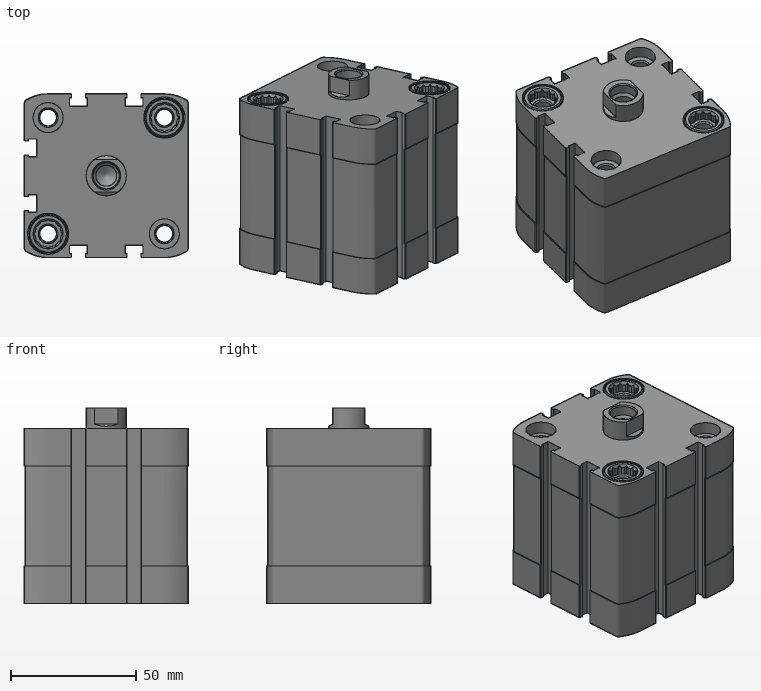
import cadquery as cq
import math

TOTAL_HEIGHT = 78.2
ROD_STICKOUT = 8.2
BODY_TOP = TOTAL_HEIGHT - ROD_STICKOUT
BODY_WIDTH = 65.5
HALF_WIDTH = BODY_WIDTH / 2
CAP_HEIGHT = 15.0
BARREL_INSET = 0.3

HOLE_OFFSET = 23.2
CORNER_RADIUS = 17.0
CORNER_BLEND = 1.5

SLOT_OFFSET = 11.1
SLOT_MOUTH = 5.5
SLOT_WIDTH = 6.95
SLOT_DEPTH = 4.9
SLOT_LIP = 1.65
SLOT_EDGE_BEVEL = 0.3

THROUGH_DIAMETER = 6.65
HOLE_MOUTH_DIAMETER = 7.8
COUNTERBORE_DIAMETER = 12.0
COUNTERBORE_DEPTH = 5.0

HEAD_POCKET_DIAMETER = 16.4
HEAD_DIAMETER = 15.5
HEAD_CHAMFER = 0.5
SOCKET_DIAMETER = 10.5
SOCKET_POINT_DIAMETER = 11.3
SOCKET_MOUTH_DIAMETER = 12.0
SOCKET_MOUTH_DEPTH = 1.3
SOCKET_POINTS = 12
SOCKET_POINT_ANGLE = 115
SOCKET_DEPTH = 4.4

ROD_DIAMETER = 16.0
ROD_SEAT_DEPTH = CAP_HEIGHT
ROD_FLATS = 13.0
FLAT_LENGTH = 6.5
FLAT_SLOPE = 30
ROD_MOUTH_DIAMETER = 11.4
ROD_COUNTERBORE_DIAMETER = 10.5
ROD_COUNTERBORE_DEPTH = 4.4
ROD_BORE_DIAMETER = 8.4
ROD_BORE_DEPTH = 15.65
DRILL_TIP_ANGLE = 118

CUT_MARGIN = 0.8


def cone(top_diameter, bottom_diameter, top_z, height):
    """Downward taper on the Z axis."""
    top = (0, 0, top_z)
    down = (0, 0, -1)
    solid = cq.Solid.makeCone(top_diameter / 2, bottom_diameter / 2, height, pnt=top, dir=down)
    return cq.Workplane(obj=solid)


def cylinder(diameter, top_z, height):
    """Plain round on the Z axis, hanging down from top_z."""
    return cq.Workplane(origin=(0, 0, top_z)).circle(diameter / 2).extrude(-height)


def section(inset, bottom_z, height):
    """Prism of the square section with rounded corners, moved inward by inset."""
    half = HALF_WIDTH - inset
    radius = CORNER_RADIUS - inset
    blend = CORNER_BLEND - inset
    arc_y = HALF_WIDTH - CORNER_RADIUS
    blend_x = HALF_WIDTH - CORNER_BLEND
    reach = CORNER_RADIUS - CORNER_BLEND
    tilt = math.asin((blend_x - HOLE_OFFSET) / reach)
    blend_y = arc_y + reach * math.cos(tilt)

    def wide(angle):
        """Point on the wide arc, by its angle from the +Y direction."""
        return HOLE_OFFSET + radius * math.sin(angle), arc_y + radius * math.cos(angle)

    side_tilt = (tilt + math.pi / 2) / 2
    blend_mid = (blend_x + blend * math.sin(side_tilt), blend_y + blend * math.cos(side_tilt))
    quarter = (
        cq.Workplane(origin=(0, 0, bottom_z))
        .lineTo(0, half)
        .lineTo(HOLE_OFFSET, half)
        .threePointArc(wide(tilt / 2), wide(tilt))
        .threePointArc(blend_mid, (half, blend_y))
        .lineTo(half, 0)
        .close()
        .extrude(height)
    )
    half_section = quarter.union(quarter.mirror("YZ"))
    return half_section.union(half_section.mirror("XZ")).clean()


def t_slot(side_angle, offset, inset):
    """Full-height T-slot cutter for a side moved inward by inset; angle 0 is the -Y side."""
    face_y = -HALF_WIDTH + inset
    bevel_y = face_y + SLOT_EDGE_BEVEL
    lip_y = -HALF_WIDTH + SLOT_LIP
    floor_y = -HALF_WIDTH + SLOT_DEPTH
    mouth = SLOT_MOUTH / 2
    wide = SLOT_WIDTH / 2
    right_edge = [
        (mouth + SLOT_EDGE_BEVEL, face_y),
        (mouth, bevel_y),
        (mouth, lip_y),
        (wide, lip_y),
        (wide, floor_y),
    ]
    left_edge = [(-x, y) for x, y in reversed(right_edge)]
    slot = cq.Workplane().polyline(right_edge + left_edge).close().extrude(BODY_TOP)
    return slot.translate((offset, 0, 0)).rotate((0, 0, 0), (0, 0, 1), side_angle)


def slotted_section(inset, bottom_z, height):
    """Section prism with two T-slots in each of its -Y, +Y and -X sides."""
    prism = section(inset, bottom_z, height)
    for side_angle in (0, 180, 270):
        for offset in (-SLOT_OFFSET, SLOT_OFFSET):
            prism = prism.cut(t_slot(side_angle, offset, inset))
    return prism


def stepped_hole(floor_z):
    """Through bore with a 45 degree mouth at floor_z, on the Z axis."""
    mouth_height = (HOLE_MOUTH_DIAMETER - THROUGH_DIAMETER) / 2
    bore = cylinder(THROUGH_DIAMETER, floor_z, floor_z)
    return bore.union(cone(HOLE_MOUTH_DIAMETER, THROUGH_DIAMETER, floor_z, mouth_height))


def counterbored_hole():
    """Cutter for a plain corner hole, on the Z axis."""
    counterbore = cylinder(COUNTERBORE_DIAMETER, BODY_TOP, COUNTERBORE_DEPTH)
    return stepped_hole(BODY_TOP - COUNTERBORE_DEPTH).union(counterbore)


def socket(top_z, height):
    """Multi-point wrench socket: a round bore with pointed notches."""
    bore = cylinder(SOCKET_DIAMETER, top_z, height)
    point_radius = SOCKET_POINT_DIAMETER / 2
    root_radius = SOCKET_DIAMETER / 2 - CUT_MARGIN
    notch_half_width = (point_radius - root_radius) * math.tan(math.radians(SOCKET_POINT_ANGLE / 2))
    notch = (
        cq.Workplane(origin=(0, 0, top_z))
        .polyline([(point_radius, 0), (root_radius, notch_half_width), (root_radius, -notch_half_width)])
        .close()
        .extrude(-height)
    )
    for index in range(SOCKET_POINTS):
        bore = bore.union(notch.rotate((0, 0, 0), (0, 0, 1), index * 360 / SOCKET_POINTS))
    return bore


def screw_head_hole():
    """Cutter that leaves a chamfered socket screw head in a corner, on the Z axis."""
    bevel = cone(HEAD_DIAMETER - 2 * HEAD_CHAMFER, HEAD_DIAMETER, BODY_TOP, HEAD_CHAMFER)
    rim_groove = cylinder(HEAD_POCKET_DIAMETER, BODY_TOP, HEAD_CHAMFER).cut(bevel)
    socket_mouth = cone(SOCKET_MOUTH_DIAMETER, SOCKET_DIAMETER, BODY_TOP, SOCKET_MOUTH_DEPTH)
    wrench = socket(BODY_TOP, SOCKET_DEPTH)
    return stepped_hole(BODY_TOP - SOCKET_DEPTH).union(wrench).union(socket_mouth).union(rim_groove)


def make_housing():
    """Slotted barrel and end caps with their corner holes, screw heads and rod seat."""
    housing = slotted_section(BARREL_INSET, CAP_HEIGHT, BODY_TOP - 2 * CAP_HEIGHT)
    for bottom_z in (0, BODY_TOP - CAP_HEIGHT):
        housing = housing.union(slotted_section(0, bottom_z, CAP_HEIGHT))
    plain_hole = counterbored_hole()
    screw_hole = screw_head_hole()
    for side in (-1, 1):
        housing = housing.cut(plain_hole.translate((side * HOLE_OFFSET, -side * HOLE_OFFSET, 0)))
        housing = housing.cut(screw_hole.translate((side * HOLE_OFFSET, side * HOLE_OFFSET, 0)))
    return housing.cut(cylinder(ROD_DIAMETER, BODY_TOP, ROD_SEAT_DEPTH))


def flat_cutter():
    """Cutter for the wrench flat on the -Y side of the rod, with a floor that falls outward."""
    inner_y = -ROD_FLATS / 2
    outer_y = -ROD_DIAMETER / 2 - CUT_MARGIN
    floor_z = TOTAL_HEIGHT - FLAT_LENGTH
    fall = (inner_y - outer_y) * math.tan(math.radians(FLAT_SLOPE))
    outline = [
        (inner_y, TOTAL_HEIGHT),
        (inner_y, floor_z),
        (outer_y, floor_z - fall),
        (outer_y, TOTAL_HEIGHT),
    ]
    return cq.Workplane("YZ").polyline(outline).close().extrude(ROD_DIAMETER / 2, both=True)


def make_rod():
    """Piston rod with two wrench flats and a stepped bore ending in a drill tip."""
    rod = cylinder(ROD_DIAMETER, TOTAL_HEIGHT, ROD_STICKOUT + ROD_SEAT_DEPTH)
    flat = flat_cutter()
    rod = rod.cut(flat).cut(flat.mirror("XZ"))
    mouth_height = (ROD_MOUTH_DIAMETER - ROD_COUNTERBORE_DIAMETER) / 2
    rod = rod.cut(cone(ROD_MOUTH_DIAMETER, ROD_COUNTERBORE_DIAMETER, TOTAL_HEIGHT, mouth_height))
    rod = rod.cut(cylinder(ROD_COUNTERBORE_DIAMETER, TOTAL_HEIGHT, ROD_COUNTERBORE_DEPTH))
    seat_height = (ROD_COUNTERBORE_DIAMETER - ROD_BORE_DIAMETER) / 2
    seat_z = TOTAL_HEIGHT - ROD_COUNTERBORE_DEPTH
    rod = rod.cut(cone(ROD_COUNTERBORE_DIAMETER, ROD_BORE_DIAMETER, seat_z, seat_height))
    rod = rod.cut(cylinder(ROD_BORE_DIAMETER, TOTAL_HEIGHT, ROD_BORE_DEPTH))
    tip_height = ROD_BORE_DIAMETER / 2 / math.tan(math.radians(DRILL_TIP_ANGLE / 2))
    return rod.cut(cone(ROD_BORE_DIAMETER, 0, TOTAL_HEIGHT - ROD_BORE_DEPTH, tip_height))


housing = make_housing()
rod = make_rod()
result = cq.Compound.makeCompound([housing.val(), rod.val()])